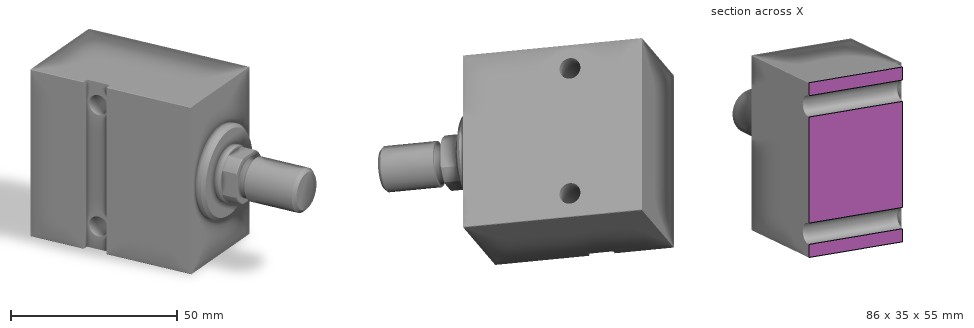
import cadquery as cq

total_length = 86.0

housing_length = 56.0
housing_width = 35.0
housing_height = 55.0
housing_edge_chamfer = 0.2

slot_centre_x = 22.5
slot_width = 8.0
slot_depth = 2.0
hole_diameter = 6.5
hole_spacing = 40.0

gland_diameter = 30.0
gland_thickness = 3.0
gland_chamfer = 1.0

rod_diameter = 18.0
rod_projection = 2.0
rod_chamfer = 0.5
rod_length = gland_thickness + rod_projection

collar_diameter = rod_diameter - 2 * rod_chamfer
collar_length = 5.0
collar_chamfer = 0.3
flats_width = 15.0
neck_diameter = 12.0
neck_length = 2.5
neck_fillet = 0.4
shank_diameter = 14.0
shank_chamfer = 1.0

match_tolerance = 0.01

gland_start = housing_length
stud_start = gland_start + rod_length
neck_start = stud_start + collar_length
shank_start = neck_start + neck_length
shank_length = total_length - shank_start


def cylinder_along_x(start_x, length, diameter):
    """Round bar on the rod axis, running towards +X from start_x."""
    return cq.Workplane("YZ", origin=(start_x, 0, 0)).circle(diameter / 2).extrude(length)


def make_housing():
    """Block with chamfered long edges, a cross slot and two through holes."""
    block = cq.Workplane("XY").box(
        housing_length, housing_width, housing_height, centered=(False, True, True)
    )
    block = block.edges("|X").chamfer(housing_edge_chamfer)
    slot = cq.Workplane("XY", origin=(slot_centre_x, -housing_width / 2, 0)).box(
        slot_width, 2 * slot_depth, housing_height
    )
    holes = (
        cq.Workplane("XZ", origin=(slot_centre_x, 0, 0))
        .rarray(0.9, hole_spacing, 1, 2)
        .circle(hole_diameter / 2)
        .extrude(housing_width / 2, both=True)
    )
    return block.cut(slot).cut(holes)


def make_gland():
    """Ring with a chamfered outer rim and a bore that fits the rod."""
    disc = cylinder_along_x(gland_start, gland_thickness, gland_diameter)
    bore = cylinder_along_x(gland_start, gland_thickness, rod_diameter)
    return disc.faces(">X").chamfer(gland_chamfer).cut(bore)


def make_rod():
    """Round rod from the housing face through the gland, with a chamfered end."""
    rod = cylinder_along_x(gland_start, rod_length, rod_diameter)
    return rod.faces(">X").chamfer(rod_chamfer)


def make_collar():
    """Chamfered collar with four wrench flats."""
    collar = cylinder_along_x(stud_start, collar_length, collar_diameter)
    collar = collar.faces(">X").chamfer(collar_chamfer)
    square = cq.Workplane("YZ", origin=(stud_start, 0, 0)).rect(flats_width, flats_width)
    return collar.intersect(square.extrude(collar_length))


def make_stud():
    """Collar, undercut neck with filleted ends, and chamfered shank in one piece."""
    neck = cylinder_along_x(neck_start, neck_length, neck_diameter)
    shank = cylinder_along_x(shank_start, shank_length, shank_diameter)
    shank = shank.faces(">X").chamfer(shank_chamfer)
    stud = make_collar().union(neck).union(shank)
    neck_ends = [
        edge
        for edge in stud.edges("%CIRCLE").vals()
        if abs(edge.radius() - neck_diameter / 2) < match_tolerance
        and edge.Center().x < shank_start + match_tolerance
    ]
    return stud.newObject(neck_ends).fillet(neck_fillet)


housing = make_housing()
gland = make_gland()
rod = make_rod()
stud = make_stud()

result = cq.Compound.makeCompound([housing.val(), gland.val(), rod.val(), stud.val()])